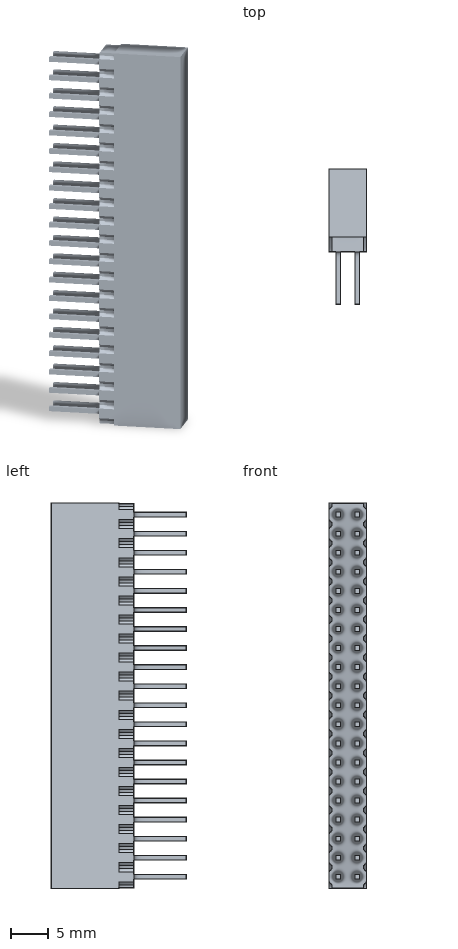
import cadquery as cq

row_count = 20
pitch = 2.54
column_offsets = (-pitch / 2, pitch / 2)

body_width = 5.0
body_length = 51.4

notch_depth = 0.4
notch_floor = 0.4
notch_mouth = notch_floor + 2 * notch_depth

base_depth = 2.0
base_length = row_count * pitch + notch_floor

pin_side = 0.64
pin_length = 7.0

overall_depth = 18.05
body_depth = overall_depth - base_depth - pin_length

pin_face_y = 0
body_front_y = pin_face_y + base_depth


def block(depth, length, y_start):
    """Full-width block centred in X and Z that extends from y_start toward +Y."""
    return cq.Workplane("XY").box(body_width, depth, length).translate((0, y_start + depth / 2, 0))


def row_notch(outer_x, floor_x, boundary_z):
    """Notch through the whole base depth, centred on a row boundary."""
    profile = [
        (outer_x, boundary_z - notch_mouth / 2),
        (floor_x, boundary_z - notch_floor / 2),
        (floor_x, boundary_z + notch_floor / 2),
        (outer_x, boundary_z + notch_mouth / 2),
    ]
    return cq.Workplane("XZ").polyline(profile).close().extrude(-base_depth)


def notched_base():
    """Base block with notches on both long sides, between rows and at the ends."""
    base = block(base_depth, base_length, pin_face_y)
    for side in (-1, 1):
        outer_x = side * body_width / 2
        floor_x = side * (body_width / 2 - notch_depth)
        for boundary in range(row_count + 1):
            boundary_z = (boundary - row_count / 2) * pitch
            base = base.cut(row_notch(outer_x, floor_x, boundary_z))
    return base


def pins():
    """All square pins, projecting toward -Y from the base."""
    positions = []
    for row in range(row_count):
        row_z = (row - (row_count - 1) / 2) * pitch
        for column_x in column_offsets:
            positions.append((column_x, row_z))
    return cq.Workplane("XZ").pushPoints(positions).rect(pin_side, pin_side).extrude(pin_length)


body = block(body_depth, body_length, body_front_y)
result = body.union(notched_base()).union(pins())